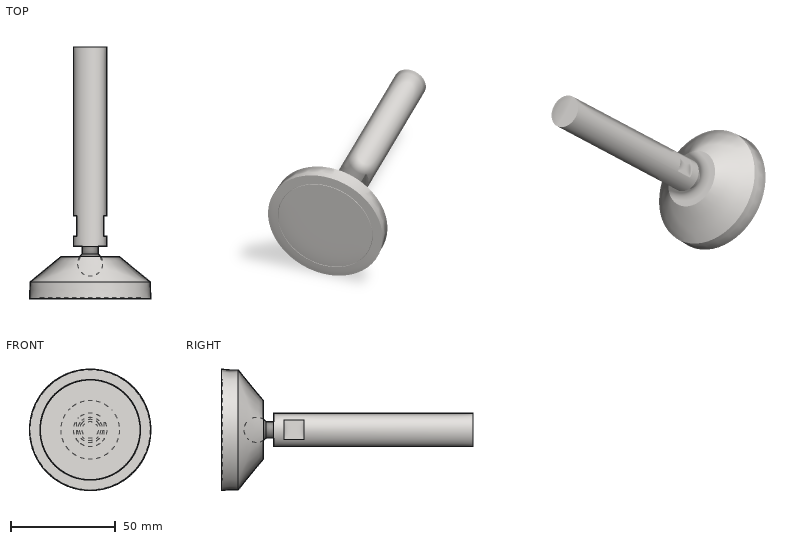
import cadquery as cq
import math

TOTAL_LENGTH = 120.0

foot_diameter = 58.0
rim_top_diameter = 57.2
foot_top_diameter = 28.0
rim_height = 8.0
foot_height = 20.0
groove_outer_diameter = 48.0
groove_inner_diameter = 47.5
groove_depth = 0.6

shaft_diameter = 16.0
shaft_start = 25.0
neck_diameter = 7.8
neck_start = 21.4
ball_radius = 6.0
flat_start = 29.9
flat_length = 9.6
across_flats = 13.0

ball_center = neck_start - math.sqrt(ball_radius**2 - (neck_diameter / 2) ** 2)
standing_face = -TOTAL_LENGTH / 2


def cylinder(diameter, start, length):
    """Round bar along Y beginning at the given height."""
    bar = cq.Workplane("XZ", origin=(0, standing_face + start, 0))
    return bar.circle(diameter / 2).extrude(-length)


def make_ball():
    return cq.Workplane("XY", origin=(0, standing_face + ball_center, 0)).sphere(ball_radius)


def make_spindle():
    """Shaft with two wrench flats, a narrow neck and a ball end."""
    shaft = cylinder(shaft_diameter, shaft_start, TOTAL_LENGTH - shaft_start)
    flat_depth = (shaft_diameter - across_flats) / 2
    flat_middle = standing_face + flat_start + flat_length / 2
    for side in (-1, 1):
        cutter = cq.Workplane("XY").box(flat_depth, flat_length, shaft_diameter)
        shaft = shaft.cut(cutter.translate((side * (across_flats + flat_depth) / 2, flat_middle, 0)))
    neck = cylinder(neck_diameter, ball_center, shaft_start - ball_center)
    return shaft.union(neck).union(make_ball())


def make_foot():
    """Drafted rim under a cone, with a ball socket and a ring groove underneath."""
    profile = [
        (0, 0),
        (foot_diameter / 2, 0),
        (rim_top_diameter / 2, rim_height),
        (foot_top_diameter / 2, foot_height),
        (0, foot_height),
    ]
    foot = (
        cq.Workplane("XY")
        .polyline(profile)
        .close()
        .revolve(360, (0, 0, 0), (0, 1, 0))
        .translate((0, standing_face, 0))
    )
    groove = cylinder(groove_outer_diameter, 0, groove_depth).cut(
        cylinder(groove_inner_diameter, 0, groove_depth)
    )
    return foot.cut(make_ball()).cut(groove)


spindle = make_spindle()
foot = make_foot()

result = cq.Compound.makeCompound([spindle.solids().val(), foot.solids().val()])